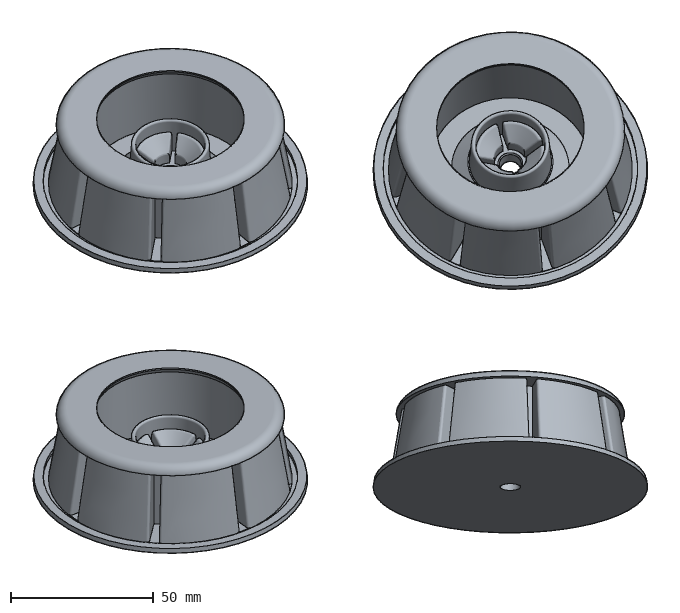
import cadquery as cq
import math

total_height = 30.0
flange_radius = 48.0

flange_thickness = 1.8
flange_draft = 0.3
recess_radius = 44.4
recess_floor = 0.4
bowl_floor = 1.7

body_foot_radius = 42.6
body_top_radius = 38.2
bore_radius = 28.2

cap_radius = 39.9
cap_flat_radius = 36.35
cap_height = 3.1
cap_edge_height = 0.3
lip_radius = 51.5 / 2
lip_land = 0.6
lip_undercut = 0.6
lip_thickness = 2.0

slot_count = 8
slot_angle = 22.5
slot_width = 3.5
slot_floor = 0.7
slot_wall = 1.9
slot_edge_fillet = 0.9

cone_foot_radius = 20.5
cone_top_radius = 14.9
cone_top_height = 5.9
ring_foot_radius = 14.4
ring_top_radius = 13.6
ring_bore_radius = 12.1
ring_height = 18.7

channel_count = 4
channel_angle = 67.5
channel_width = 1.9
channel_floor = 4.8
wedge_inner_radius = 5.6
wedge_inner_height = 8.9
wedge_fillet = 0.8
rim_inner_radius = 10.6
rim_inner_height = 13.4
rim_crest_radius = 11.3
rim_crest_height = 13.7
rim_outer_radius = 12.5
rim_outer_height = 12.85

axle_bottom_radius = 3.55
axle_top_radius = 3.8
axle_chamfer = 0.5

mouth_margin = 1.0
edge_margin = 0.1

cap_bottom = total_height - cap_height


def revolve(profile):
    """Turn a profile drawn as (radius, height) about the Z axis."""
    return profile.close().revolve(360, (0, 0, 0), (0, 1, 0))


def turn(shape, angle):
    return shape.rotate((0, 0, 0), (0, 0, 1), angle)


def center_radius(edge):
    """Distance of an edge's center from the Z axis."""
    return math.hypot(edge.Center().x, edge.Center().y)


def make_flange():
    return revolve(
        cq.Workplane("XZ")
        .lineTo(flange_radius, 0)
        .lineTo(flange_radius - flange_draft, flange_thickness)
        .lineTo(recess_radius, flange_thickness)
        .lineTo(recess_radius, recess_floor)
        .lineTo(bore_radius, recess_floor)
        .lineTo(bore_radius, bowl_floor)
        .lineTo(0, bowl_floor)
    )


def make_body():
    """Tapered wall with deep radial slots whose outer edges are rounded."""
    body = revolve(
        cq.Workplane("XZ")
        .moveTo(bore_radius, recess_floor)
        .lineTo(body_foot_radius, recess_floor)
        .lineTo(body_top_radius, cap_bottom)
        .lineTo(bore_radius, cap_bottom)
    )
    slot_start = bore_radius + slot_wall
    slot_length = flange_radius - slot_start
    slot = (
        cq.Workplane("XY")
        .box(slot_length, slot_width, total_height, centered=(False, True, False))
        .translate((slot_start, 0, slot_floor))
    )
    for i in range(slot_count):
        body = body.cut(turn(slot, slot_angle + i * 360 / slot_count))

    middle_radius = (body_foot_radius + body_top_radius) / 2
    middle_height = (slot_floor + cap_bottom) / 2
    mouth_edges = [
        edge for edge in body.edges().vals()
        if abs(center_radius(edge) - middle_radius) < mouth_margin
        and abs(edge.Center().z - middle_height) < mouth_margin
        and abs(edge.Center().y) > slot_width
    ]
    return body.newObject(mouth_edges).fillet(slot_edge_fillet)


def make_cap():
    drop = cap_height - cap_edge_height
    overhang = cap_radius - cap_flat_radius
    edge_radius = (overhang**2 + drop**2) / (2 * drop)
    half_angle = math.asin(overhang / edge_radius) / 2
    edge_middle = (
        cap_flat_radius + edge_radius * math.sin(half_angle),
        total_height - edge_radius * (1 - math.cos(half_angle)),
    )
    lip_bottom = total_height - lip_thickness
    return revolve(
        cq.Workplane("XZ")
        .moveTo(lip_radius, total_height)
        .lineTo(cap_flat_radius, total_height)
        .threePointArc(edge_middle, (cap_radius, cap_bottom + cap_edge_height))
        .lineTo(cap_radius, cap_bottom)
        .lineTo(bore_radius, cap_bottom)
        .lineTo(bore_radius, lip_bottom)
        .lineTo(lip_radius + lip_undercut, lip_bottom)
        .lineTo(lip_radius, total_height - lip_land)
    )


def make_hub():
    crest_radius = (ring_top_radius - ring_bore_radius) / 2
    crest_foot = ring_height - crest_radius
    return revolve(
        cq.Workplane("XZ")
        .lineTo(cone_foot_radius, 0)
        .lineTo(cone_foot_radius, bowl_floor)
        .lineTo(cone_top_radius, cone_top_height)
        .lineTo(ring_foot_radius, cone_top_height)
        .lineTo(ring_top_radius, crest_foot)
        .threePointArc((ring_top_radius - crest_radius, ring_height), (ring_bore_radius, crest_foot))
        .lineTo(ring_bore_radius, channel_floor)
        .lineTo(0, channel_floor)
    )


def make_wedges():
    """Sectors sloping down to the axle, their rounded rims running into the ring wall."""
    wedges = revolve(
        cq.Workplane("XZ")
        .moveTo(wedge_inner_radius, channel_floor)
        .lineTo(wedge_inner_radius, wedge_inner_height)
        .lineTo(rim_inner_radius, rim_inner_height)
        .threePointArc((rim_crest_radius, rim_crest_height), (rim_outer_radius, rim_outer_height))
        .lineTo(rim_outer_radius, channel_floor)
    )
    channel = cq.Workplane("XY").box(2 * flange_radius, channel_width, 2 * total_height)
    for i in range(channel_count // 2):
        wedges = wedges.cut(turn(channel, channel_angle + i * 360 / channel_count))

    top_edges = [
        edge for edge in wedges.edges().vals()
        if edge.Center().z > wedge_inner_height - edge_margin
        and center_radius(edge) < ring_bore_radius
        and not (edge.geomType() == "CIRCLE" and edge.Center().z > wedge_inner_height + edge_margin)
    ]
    return wedges.newObject(top_edges).fillet(wedge_fillet)


def make_axle_hole():
    return revolve(
        cq.Workplane("XZ")
        .lineTo(axle_bottom_radius, 0)
        .lineTo(axle_top_radius, channel_floor - axle_chamfer)
        .lineTo(axle_top_radius + axle_chamfer, channel_floor)
        .lineTo(0, channel_floor)
    )


result = make_flange().union(make_body()).union(make_cap())
result = result.union(make_hub()).union(make_wedges()).cut(make_axle_hole())